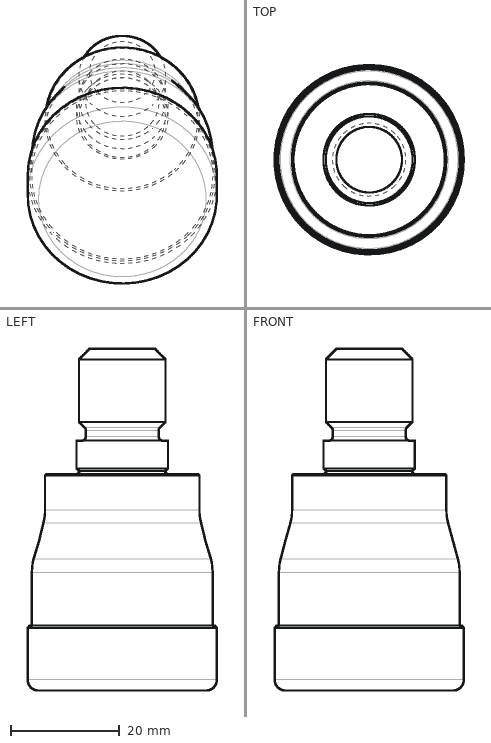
import cadquery as cq
import math

total_height = 63.0

cap_radius = 17.45
cap_height = 12.0
cap_bottom_fillet = 2.0
cap_top_chamfer = 0.4

barrel_radius = 16.7
shoulder_radius = 14.25
shoulder_top = 39.95
shoulder_chamfer = 0.3
taper_bottom = 23.05
taper_top = 32.05
taper_blend = 1.25

collar_radius = 8.45
collar_top = 46.05
undercut_depth = 0.5
stud_radius = 8.0
stud_chamfer = 1.95
relief_radius = 6.75
relief_fillet = 0.75
relief_cone_top = 49.5


def make_cap():
    cap = cq.Workplane("XY").circle(cap_radius).extrude(cap_height)
    return cap.faces("<Z").edges().fillet(cap_bottom_fillet).faces(">Z").edges().chamfer(cap_top_chamfer)


def add_housing_side(outline):
    """Draw the barrel, the taper with its two blend arcs, and the shoulder, going up."""
    taper_angle = math.atan2(barrel_radius - shoulder_radius, taper_top - taper_bottom)
    blend_in = taper_blend * math.sin(taper_angle)
    blend_up = taper_blend * math.cos(taper_angle)
    return (
        outline.lineTo(barrel_radius, taper_bottom - taper_blend)
        .tangentArcPoint((barrel_radius - blend_in, taper_bottom + blend_up), relative=False)
        .lineTo(shoulder_radius + blend_in, taper_top - blend_up)
        .tangentArcPoint((shoulder_radius, taper_top + taper_blend), relative=False)
        .lineTo(shoulder_radius, shoulder_top - shoulder_chamfer)
        .lineTo(shoulder_radius - shoulder_chamfer, shoulder_top)
    )


def add_stud_side(outline):
    """Draw the undercut, collar, relief groove and stud end, going up to the axis."""
    undercut_radius = collar_radius - undercut_depth
    undercut_middle = shoulder_top + undercut_depth
    arc_offset = 1 - math.sqrt(0.5)
    undercut_arc_middle = (
        undercut_radius + undercut_depth * arc_offset,
        shoulder_top + undercut_depth * arc_offset,
    )
    relief_arc_middle = (
        relief_radius + relief_fillet * arc_offset,
        collar_top + relief_fillet * arc_offset,
    )
    relief_cone_bottom = relief_cone_top - (stud_radius - relief_radius)
    cone_blend = relief_fillet * math.tan(math.radians(45 / 2))
    cone_blend_step = cone_blend * math.sqrt(0.5)
    return (
        outline.lineTo(collar_radius, shoulder_top)
        .threePointArc(undercut_arc_middle, (undercut_radius, undercut_middle))
        .lineTo(collar_radius, undercut_middle + undercut_depth)
        .lineTo(collar_radius, collar_top)
        .lineTo(relief_radius + relief_fillet, collar_top)
        .threePointArc(relief_arc_middle, (relief_radius, collar_top + relief_fillet))
        .lineTo(relief_radius, relief_cone_bottom - cone_blend)
        .tangentArcPoint(
            (relief_radius + cone_blend_step, relief_cone_bottom + cone_blend_step), relative=False
        )
        .lineTo(stud_radius, relief_cone_top)
        .lineTo(stud_radius, total_height - stud_chamfer)
        .lineTo(stud_radius - stud_chamfer, total_height)
        .lineTo(0, total_height)
    )


def make_studded_housing():
    """Housing and stud are one turned piece that stands on the cap."""
    outline = cq.Workplane("XZ").moveTo(0, cap_height).lineTo(barrel_radius, cap_height)
    outline = add_stud_side(add_housing_side(outline))
    return outline.close().revolve(360, (0, 0, 0), (0, 1, 0))


cap = make_cap()
studded_housing = make_studded_housing()

result = cq.Compound.makeCompound([cap.val(), studded_housing.val()])